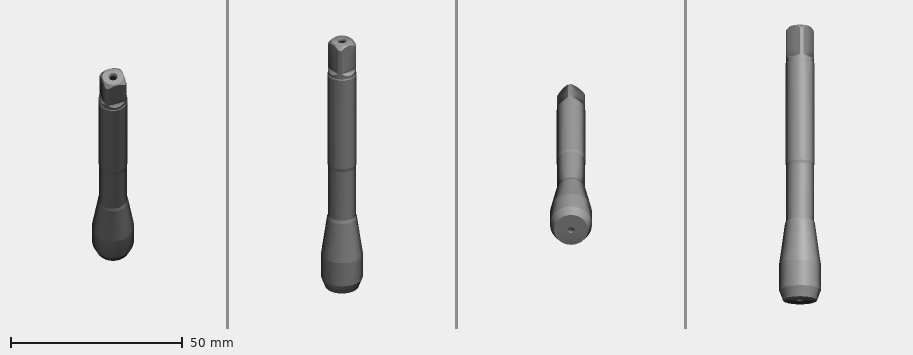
import cadquery as cq
import math

lead_top = 3.05
thread_top = 10.8
head_top = 23.0
neck_bottom = 23.9
neck_top = 40.3
shank_bottom = 41.15
shank_top = 71.2
flats_bottom = 73.0
total_length = 82.0

tip_diameter = 9.9
thread_diameter = 12.19
head_top_diameter = 8.75
neck_diameter = 8.16
shank_diameter = 8.5
drive_diameter = 8.16
drive_end_diameter = 6.0

across_flats = 6.5
flat_count = 4
drive_chamfer_height = 1.1
shank_chamfer = (shank_diameter - drive_diameter) / 2

bore_diameter = 2.0
countersink_diameter = 2.7
countersink_angle = 60
countersink_width = (countersink_diameter - bore_diameter) / 2
countersink_depth = countersink_width / math.tan(math.radians(countersink_angle / 2))


def revolve_profile(outline):
    """Revolve a closed outline of (diameter, height) points around the Z axis."""
    points = [(diameter / 2, height) for diameter, height in outline]
    return cq.Workplane("XZ").polyline(points).close().revolve(360, (0, 0, 0), (0, 1, 0))


def make_head():
    """Threaded cutting head: tapered lead, thread envelope and cone up to the neck."""
    return revolve_profile([
        (bore_diameter, 0),
        (tip_diameter, 0),
        (thread_diameter, lead_top),
        (thread_diameter, thread_top),
        (head_top_diameter, head_top),
        (bore_diameter, head_top),
    ])


def make_flat_cutter():
    """Material removed beside one flat, with a 45 degree run-out at the bottom."""
    inner = across_flats / 2
    outer = drive_diameter / 2
    run_out = outer - inner
    outline = [
        (inner, flats_bottom),
        (outer, flats_bottom - run_out),
        (outer, total_length),
        (inner, total_length),
    ]
    return cq.Workplane("XZ").polyline(outline).close().extrude(drive_diameter / 2, both=True)


def make_shank():
    """Neck, cylindrical shank and square drive end with a countersunk bore."""
    shank = revolve_profile([
        (bore_diameter, head_top),
        (head_top_diameter, head_top),
        (neck_diameter, neck_bottom),
        (neck_diameter, neck_top),
        (shank_diameter, shank_bottom),
        (shank_diameter, shank_top - shank_chamfer),
        (drive_diameter, shank_top),
        (drive_diameter, total_length - drive_chamfer_height),
        (drive_end_diameter, total_length),
        (countersink_diameter, total_length),
        (bore_diameter, total_length - countersink_depth),
    ])
    flat_cutter = make_flat_cutter()
    for side in range(flat_count):
        angle = side * 360 / flat_count
        shank = shank.cut(flat_cutter.rotate((0, 0, 0), (0, 0, 1), angle))
    return shank


head = make_head()
shank = make_shank()
result = cq.Compound.makeCompound([head.val(), shank.solids().val()])